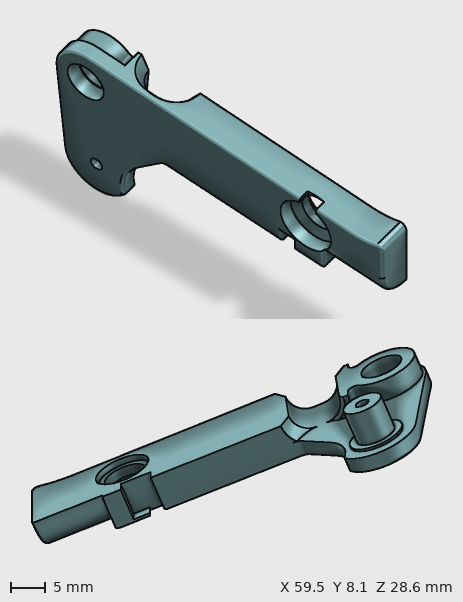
import cadquery as cq
import math

length = 59.5
plate_depth = 2.5
arm_depth = 5.6
pad_depth = 2.85
pin_depth = 8.1
edge_fillet = 0.55

top_slope = 4.0
bottom_slope = 3.2
leg_slope = 45.0

pivot_radius = 5.6
pivot = (pivot_radius, 22.95)
foot_radius = 6.0
foot = (7.55, foot_radius)
heel_radius = 8.45
heel = (20.8, 4.35)

boss_radius = 5.1
pivot_hole_front_radius = 3.3
pivot_hole_rear_radius = 3.1

pin_radius = 2.9
pad_radius = 4.05
pin_hole_radius = 1.0

arm_start_x = 10.75
web_fillet = 1.0
web_bottom_z = 17.1
crotch = (19.6, 15.05)
crotch_fillet = 1.8

notch_left_x = 41.15
notch_right_x = 43.3
notch_height = 2.0
lip_depth = 0.6
channel_end_x = 45.8
block_end_x = 48.65

dip_start_x = 53.25
grip_peak = (58.35, 25.9)
grip_corner_radius = length - grip_peak[0]
grip_inset = 0.55

bore = (45.55, 20.65)
bore_radius = 4.6
bore_hole_radius = 3.1
opening_width = 3.0
opening_radius = 5.35
opening_depth = 1.85
cone_end_depth = 3.15
rear_counterbore_radius = 4.05
rear_counterbore_depth = 0.95

slot_x = 16.7
slot_radius = arm_depth - plate_depth
slot_flat = 1.55
flare_angle = 30.0
flare_height = 2.5


def polar(center, radius, angle):
    """Point at an angle in degrees on a circle in the XZ plane."""
    turn = math.radians(angle)
    return (center[0] + radius * math.cos(turn), center[1] + radius * math.sin(turn))


def distance_and_angle(start, end):
    """Distance between two points and the direction from one to the other in degrees."""
    run = end[0] - start[0]
    rise = end[1] - start[1]
    return math.hypot(run, rise), math.degrees(math.atan2(rise, run))


def top_z(x):
    """Straight top edge, tangent to the pivot end."""
    start = polar(pivot, pivot_radius, 90 - top_slope)
    return start[1] - (x - start[0]) * math.tan(math.radians(top_slope))


def bottom_z(x):
    """Straight bottom edge of the arm, running from the crotch."""
    return crotch[1] - (x - crotch[0]) * math.tan(math.radians(bottom_slope))


def notch_z(x):
    """Roof of the notch, parallel to the bottom edge."""
    return bottom_z(x) + notch_height


def grip_edge_z(x):
    """Height where the flat front of the grip turns into its rounded underside."""
    return bottom_z(x) + grip_inset + arm_depth


def sketch(y=0.0):
    """XZ work plane at a given Y; negative extrusions run toward +Y."""
    return cq.Workplane("XZ", origin=(0, y, 0))


def cylinder(center, radius, y_start, y_end):
    return sketch(y_start).center(*center).circle(radius).extrude(y_start - y_end)


def dip_middle(dip_start):
    """Middle of the dip arc, which leaves the straight top edge smoothly."""
    chord, chord_angle = distance_and_angle(dip_start, grip_peak)
    half_turn = math.radians(chord_angle + top_slope) / 2
    chord_middle = ((dip_start[0] + grip_peak[0]) / 2, (dip_start[1] + grip_peak[1]) / 2)
    return polar(chord_middle, chord / 2 * math.tan(half_turn), chord_angle - 90)


def draw_arm_end(outline):
    """Continue an outline along the underside, around the grip and up to the start of its dip."""
    corner_center = (grip_peak[0], grip_peak[1] - grip_corner_radius)
    dip_start = (dip_start_x, top_z(dip_start_x))
    return (
        outline.lineTo(notch_left_x, bottom_z(notch_left_x))
        .lineTo(notch_left_x, notch_z(notch_left_x))
        .lineTo(notch_right_x, notch_z(notch_right_x))
        .lineTo(notch_right_x, bottom_z(notch_right_x))
        .lineTo(block_end_x, bottom_z(block_end_x))
        .lineTo(block_end_x, grip_edge_z(block_end_x))
        .lineTo(length, grip_edge_z(length))
        .lineTo(length, corner_center[1])
        .threePointArc(polar(corner_center, grip_corner_radius, 45), grip_peak)
        .threePointArc(dip_middle(dip_start), dip_start)
    )


def front_plate():
    """Leg and front layer of the arm, with a rounded front edge."""
    span, center_angle = distance_and_angle(pivot, foot)
    left_normal = center_angle - 90 - math.degrees(math.asin((foot_radius - pivot_radius) / span))

    gap, heel_angle = distance_and_angle(foot, heel)
    along = (gap**2 + foot_radius**2 - heel_radius**2) / (2 * gap)
    toe = polar(foot, foot_radius, heel_angle - math.degrees(math.acos(along / foot_radius)))

    outline = (
        sketch()
        .moveTo(*polar(pivot, pivot_radius, 90 - top_slope))
        .threePointArc(polar(pivot, pivot_radius, 135), polar(pivot, pivot_radius, left_normal))
        .lineTo(*polar(foot, foot_radius, left_normal))
        .threePointArc(polar(foot, foot_radius, 270), toe)
        .threePointArc(polar(heel, heel_radius, 180), polar(heel, heel_radius, 180 - leg_slope))
        .lineTo(*crotch)
    )
    plate = draw_arm_end(outline).close().extrude(-plate_depth)
    crotch_edge = cq.NearestToPointSelector((crotch[0], plate_depth / 2, crotch[1]))
    plate = plate.edges(crotch_edge).fillet(crotch_fillet)

    grip_middle_x = (block_end_x + length) / 2
    grip_edge = cq.NearestToPointSelector((grip_middle_x, 0, grip_edge_z(grip_middle_x)))
    front_edges = plate.faces("<Y").edges()
    sharp_edge = front_edges.edges(grip_edge).val()
    round_edges = [edge for edge in front_edges.vals() if not edge.isSame(sharp_edge)]
    return plate.newObject(round_edges).fillet(edge_fillet)


def rear_arm():
    """Rear layer of the arm; its bottom edge steps up to the web inside the cross slot."""
    outline = (
        sketch(plate_depth)
        .moveTo(arm_start_x, top_z(arm_start_x))
        .lineTo(arm_start_x, web_bottom_z)
        .lineTo(slot_bottom[0], web_bottom_z)
        .lineTo(*slot_bottom)
    )
    return draw_arm_end(outline).close().extrude(plate_depth - arm_depth)


def boss_web():
    """Neck from the boss to the arm, with arcs tangent to both."""
    reach = boss_radius + web_fillet
    spread = math.degrees(math.acos((arm_start_x - web_fillet - pivot[0]) / reach))
    upper = polar(pivot, reach, spread)
    lower = polar(pivot, reach, -spread)
    arc_middle = (180 - spread) / 2
    return (
        sketch(plate_depth)
        .moveTo(*polar(pivot, boss_radius, spread))
        .threePointArc(polar(upper, web_fillet, -arc_middle), (arm_start_x, upper[1]))
        .lineTo(arm_start_x, lower[1])
        .threePointArc(polar(lower, web_fillet, arc_middle), polar(pivot, boss_radius, -spread))
        .close()
        .extrude(plate_depth - arm_depth)
    )


def lip_channel():
    """Channel behind the lip, as high as the notch."""
    return (
        sketch(lip_depth)
        .moveTo(notch_right_x, 0)
        .lineTo(channel_end_x, 0)
        .lineTo(channel_end_x, notch_z(channel_end_x))
        .lineTo(notch_right_x, notch_z(notch_right_x))
        .close()
        .extrude(lip_depth - arm_depth)
    )


def rounded_grip():
    """Lower half of the grip, a quarter round along the sloping underside."""
    start_z = grip_edge_z(block_end_x)
    quarter = (
        cq.Workplane("YZ", origin=(block_end_x, 0, start_z))
        .radiusArc((arm_depth, -arm_depth), -arm_depth)
        .lineTo(arm_depth, 0)
        .close()
        .extrude(length)
        .rotate((block_end_x, 0, start_z), (block_end_x, 1, start_z), bottom_slope)
    )
    up_to_tip = cq.Workplane("XY").box(2 * length, length, 2 * length)
    quarter = quarter.intersect(up_to_tip)
    return quarter.faces(">X").edges("not(#Y or #Z)").fillet(edge_fillet)


def foot_pin():
    pad = cylinder(foot, pad_radius, plate_depth, pad_depth)
    return pad.union(cylinder(foot, pin_radius, plate_depth, pin_depth))


def pivot_hole():
    front = cylinder(pivot, pivot_hole_front_radius, 0, plate_depth)
    return front.union(cylinder(pivot, pivot_hole_rear_radius, 0, arm_depth))


def tip_bore():
    half_section = [
        (0, 0),
        (opening_radius, 0),
        (opening_radius, opening_depth),
        (bore_hole_radius, cone_end_depth),
        (0, cone_end_depth),
    ]
    cone = (
        cq.Workplane("XY")
        .polyline(half_section)
        .close()
        .revolve(360, (0, 0, 0), (0, 1, 0))
        .translate((bore[0], 0, bore[1]))
    )
    opening = (
        sketch()
        .transformed(offset=(bore[0], bore[1], 0), rotate=(0, 0, -top_slope))
        .center(0, opening_radius / 2)
        .rect(opening_width, opening_radius)
        .extrude(-arm_depth)
    )
    front_bore = cylinder(bore, bore_radius, 0, arm_depth)
    hole = cylinder(bore, bore_hole_radius, 0, arm_depth)
    counterbore = cylinder(bore, rear_counterbore_radius, arm_depth - rear_counterbore_depth, arm_depth)
    return cone.intersect(front_bore.union(opening)).union(hole).union(counterbore)


def slot_tool(radius, mouth, run, taper=0):
    """Cutter shaped like the cross slot, running down from a mouth (X, Z) at right angles to the top edge."""
    turn = math.radians(top_slope)
    plane = cq.Plane(
        origin=(mouth[0], arm_depth, mouth[1]),
        xDir=(math.cos(turn), 0, -math.sin(turn)),
        normal=(-math.sin(turn), 0, -math.cos(turn)),
    )
    return cq.Workplane(plane).slot2D(slot_flat + 2 * radius, 2 * radius).extrude(run, taper=taper)


slot_height = top_z(slot_x) - bottom_z(slot_x)
slot_top = (slot_x, top_z(slot_x))
slot_exit_x = slot_x - slot_height * math.tan(math.radians(top_slope))
slot_bottom = (slot_exit_x, bottom_z(slot_exit_x))
flared_radius = slot_radius + flare_height * math.tan(math.radians(flare_angle))
upper_flare = slot_tool(flared_radius, slot_top, flare_height, flare_angle)
lower_flare = slot_tool(flared_radius, slot_bottom, -flare_height, flare_angle)
through_slot = slot_tool(slot_radius, slot_top, 2 * slot_height)

rear = rear_arm().cut(through_slot).cut(lower_flare).union(boss_web())
rear = rear.union(cylinder(pivot, boss_radius, plate_depth, arm_depth))

result = front_plate().union(rear).cut(upper_flare)
result = result.cut(lip_channel()).union(rounded_grip()).union(foot_pin())
result = result.cut(tip_bore()).cut(pivot_hole())
result = result.cut(cylinder(foot, pin_hole_radius, 0, pin_depth))